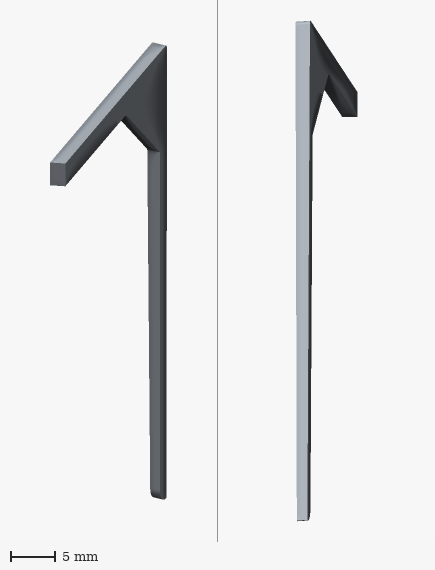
import cadquery as cq

width = 4.55
depth = 31.2
height = 59.0

plate_width = 1.7
front_skew = 0.6
margin = 1.2

arm_height = 2.95
gusset_length = 10.15
gusset_height = 10.05
leg_depth = 2.0
leg_back_lean = 0.4
top_radius = 0.5
toe_radius = 1.95

left_taper = 0.25
right_taper = 0.25

arm_bottom = height - arm_height
gusset_bottom = arm_bottom - gusset_height
top_back = depth - leg_back_lean
lean = (width - plate_width) / (top_back - front_skew)
leg_front = top_back - leg_depth
foot_front = depth - toe_radius


def side_body():
    """Side outline of arm, gusset and leg, extruded well past both sides of the plate."""
    return (
        cq.Workplane("YZ")
        .moveTo(-margin, height)
        .lineTo(top_back - top_radius, height)
        .radiusArc((top_back, height - top_radius), top_radius)
        .lineTo(depth, 0)
        .radiusArc((foot_front, toe_radius), toe_radius)
        .lineTo(leg_front, gusset_bottom)
        .lineTo(leg_front - gusset_length, arm_bottom)
        .lineTo(-margin, arm_bottom)
        .close()
        .extrude(width, both=True)
    )


def plate_body():
    """Leaning plate: an XZ trapezoid, thinner at the foot, swept along the lean."""
    front_left = lean * top_back
    front_right = front_left + plate_width
    section = cq.Wire.makePolygon(
        [
            cq.Vector(front_left + left_taper, 0, 0),
            cq.Vector(front_right - right_taper, 0, 0),
            cq.Vector(front_right, 0, height),
            cq.Vector(front_left, 0, height),
        ],
        close=True,
    )
    sweep_length = depth + margin
    sweep = cq.Vector(-lean * sweep_length, sweep_length, 0)
    return cq.Workplane(cq.Solid.extrudeLinear(section, [], sweep))


def front_bevel():
    """Wedge that turns the front end of the arm out of square."""
    left = lean * top_back
    slope = front_skew / (width - left)
    right = width + margin
    return (
        cq.Workplane("XY", origin=(0, 0, arm_bottom - margin))
        .moveTo(left, 0)
        .lineTo(right, slope * (right - left))
        .lineTo(right, -margin)
        .lineTo(left, -margin)
        .close()
        .extrude(arm_height + 2 * margin)
    )


result = side_body().intersect(plate_body()).cut(front_bevel())